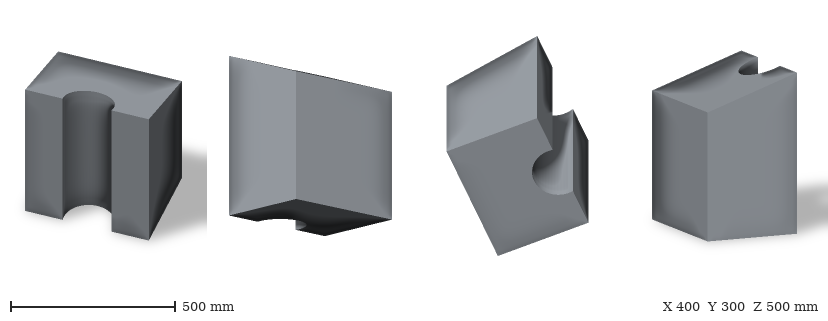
import cadquery as cq

width = 400.0
depth = 300.0
front_height = 500.0
back_height = 400.0

groove_radius = 80.0
groove_depth = 95.0
groove_center_y = groove_depth - groove_radius

block = (
    cq.Workplane("YZ")
    .polyline([(0, 0), (depth, 0), (depth, back_height), (0, front_height)])
    .close()
    .extrude(width / 2, both=True)
)

groove = (
    cq.Workplane("XY")
    .center(0, groove_center_y)
    .circle(groove_radius)
    .extrude(front_height)
)

result = block.cut(groove)